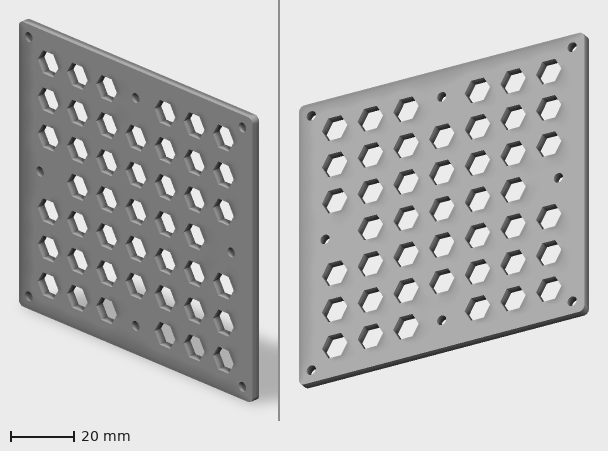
import cadquery as cq
import math

plate_width = 104.0
plate_thickness = 3.0
plate_height = 100.0
corner_radius = 2.0

grid_count = 7
grid_pitch = 13.0
hexagon_sides = 6
hexagon_across_flats = 8.0
hexagon_across_corners = hexagon_across_flats / math.cos(math.pi / hexagon_sides)

screw_hole_diameter = 3.3
corner_hole_inset = 4.5
side_hole_x = 42.5
top_hole_z = 40.0


def hexagon_centres():
    """Grid positions, leaving out the middle of each side where a screw hole sits."""
    middle = grid_count // 2
    side_middles = [
        (-middle, 0),
        (middle, 0),
        (0, -middle),
        (0, middle),
    ]
    steps = range(-middle, middle + 1)
    return [
        (column * grid_pitch, row * grid_pitch)
        for column in steps
        for row in steps
        if (column, row) not in side_middles
    ]


def screw_hole_centres():
    """Four corner holes followed by the four side holes."""
    corner_x = plate_width / 2 - corner_hole_inset
    corner_z = plate_height / 2 - corner_hole_inset
    corners = [(sx * corner_x, sz * corner_z) for sx in (-1, 1) for sz in (-1, 1)]
    sides = [
        (-side_hole_x, 0),
        (side_hole_x, 0),
        (0, -top_hole_z),
        (0, top_hole_z),
    ]
    return corners + sides


plate = (
    cq.Workplane("XZ")
    .rect(plate_width, plate_height)
    .extrude(plate_thickness / 2, both=True)
    .edges("|Y")
    .fillet(corner_radius)
)

hexagons = (
    cq.Workplane("XZ")
    .pushPoints(hexagon_centres())
    .polygon(hexagon_sides, hexagon_across_corners)
    .extrude(plate_thickness, both=True)
)
screw_holes = (
    cq.Workplane("XZ")
    .pushPoints(screw_hole_centres())
    .circle(screw_hole_diameter / 2)
    .extrude(plate_thickness, both=True)
)

result = plate.cut(hexagons).cut(screw_holes)